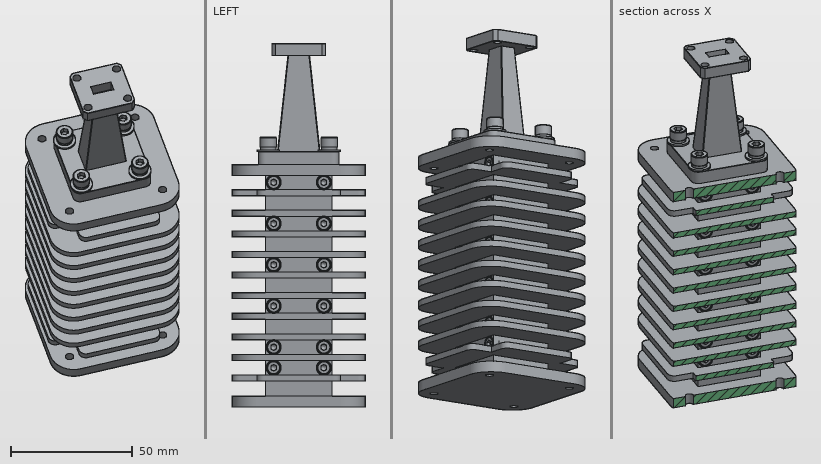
import cadquery as cq
import math

side = 55.0
core_side = side / 2
corner_radius = 10.0
housing_height = 100.0
flange_thickness = 4.5
mount_hole_pitch = 40.0
mount_hole_diameter = 3.3

fin_count = 10
fin_thickness = 2.5
first_fin_z = 12.0
last_fin_z = 88.5
fin_pitch = (last_fin_z - first_fin_z) / (fin_count - 1)
notch_size = 10.2
tab_radius = 3.0

screw_gaps = (0, 1, 3, 5, 7, 9)
side_screw_spacing = 20.7
side_recess_diameter = 6.2
side_head_diameter = 5.5
side_head_chamfer = 0.3
side_recess_depth = 3.0
side_socket_size = 2.4
side_socket_depth = 1.5

block_side = 33.3
block_height = 5.4
block_radius = 3.0
block_top = housing_height + block_height

cap_pitch_x = 24.3
cap_pitch_y = 25.2
washer_diameter = 9.2
washer_thickness = 0.8
spring_washer_diameter = 6.5
spring_washer_thickness = 1.2
cap_diameter = 6.9
cap_height = 4.0
cap_chamfer = 0.3
cap_socket_size = 3.0
cap_socket_depth = 2.0

total_height = 150.0
guide_side = 22.2
guide_thickness = 5.0
guide_chamfer = 1.5
horn_corner_chamfer = 0.3
edge_break = 0.2
guide_hole_pitch_x = 16.2
guide_hole_pitch_y = 17.1
guide_hole_diameter = 3.3
aperture_x = 4.2
aperture_y = 8.7
horn_base_x = 11.1
horn_base_y = 17.5
horn_top_x = 6.8
horn_top_y = 9.0
guide_bottom = total_height - guide_thickness

drill_point_angle = math.radians(59)


def square_plate(size, radius, bottom, thickness):
    """Square plate with rounded vertical corners."""
    plate = cq.Workplane("XY").workplane(offset=bottom).rect(size, size).extrude(thickness)
    return plate.edges("|Z").fillet(radius)


def grid(plane, pitch_x, pitch_y):
    """Four points at the corners of a centred rectangle."""
    return plane.rect(pitch_x, pitch_y, forConstruction=True).vertices()


def fin(bottom):
    return square_plate(side, corner_radius, bottom, fin_thickness)


def notched_fin(bottom):
    """End fin: a cross of two bars whose outer corners are rounded."""
    bar_width = side - 2 * notch_size
    plane = cq.Workplane("XY").workplane(offset=bottom)
    bar = plane.rect(side, bar_width).extrude(fin_thickness).edges("|Z").fillet(tab_radius)
    return bar.union(bar.rotate((0, 0, 0), (0, 0, 1), 90))


def hex_socket(size, depth):
    """Hexagonal socket with a conical bottom, sunk from the XY plane along -Z."""
    corner_diameter = size / math.cos(math.pi / 6)
    point_depth = size / 2 / math.tan(drill_point_angle)
    hexagon = cq.Workplane("XY").polygon(6, corner_diameter).extrude(-depth)
    point = cq.Solid.makeCone(size / 2, 0, point_depth, cq.Vector(0, 0, -depth), cq.Vector(0, 0, -1))
    return hexagon.union(cq.Workplane(point))


def housing():
    body = cq.Workplane("XY").rect(core_side, core_side).extrude(housing_height)
    for flange_bottom in (0, housing_height - flange_thickness):
        flange = square_plate(side, corner_radius, flange_bottom, flange_thickness)
        holes = grid(flange.faces(">Z").workplane(), mount_hole_pitch, mount_hole_pitch)
        body = body.union(holes.hole(mount_hole_diameter))
    for index in range(fin_count):
        bottom = first_fin_z + index * fin_pitch - fin_thickness / 2
        is_end_fin = index in (0, fin_count - 1)
        body = body.union(notched_fin(bottom) if is_end_fin else fin(bottom))
    return body


def side_screw_cut():
    """Recess around the flush screw head plus its socket, sunk along -Z."""
    recess = cq.Workplane("XY").circle(side_recess_diameter / 2).extrude(-side_recess_depth)
    head = cq.Workplane("XY").circle(side_head_diameter / 2).extrude(-side_recess_depth)
    head = head.faces(">Z").edges().chamfer(side_head_chamfer)
    return recess.cut(head).union(hex_socket(side_socket_size, side_socket_depth))


def cut_side_screws(body):
    cutter = side_screw_cut().rotate((0, 0, 0), (0, 1, 0), -90)
    for gap in screw_gaps:
        z = first_fin_z + (gap + 0.5) * fin_pitch
        for y in (-side_screw_spacing / 2, side_screw_spacing / 2):
            body = body.cut(cutter.translate((-core_side / 2, y, z)))
    return body


def cap_screw():
    """Washer, spring washer and socket head stacked up from the XY plane."""
    spring_top = washer_thickness + spring_washer_thickness
    top = spring_top + cap_height
    head = cq.Workplane("XY").workplane(offset=spring_top).circle(cap_diameter / 2).extrude(cap_height)
    head = head.faces(">Z").edges().chamfer(cap_chamfer)
    head = head.cut(hex_socket(cap_socket_size, cap_socket_depth).translate((0, 0, top)))
    washer = cq.Workplane("XY").circle(washer_diameter / 2).extrude(washer_thickness)
    spring = cq.Workplane("XY").circle(spring_washer_diameter / 2).extrude(spring_top)
    return washer.union(spring).union(head)


def block_with_screws():
    body = square_plate(block_side, block_radius, housing_height, block_height)
    body = body.faces(">Z").edges().chamfer(edge_break)
    screw = cap_screw()
    for x in (-cap_pitch_x / 2, cap_pitch_x / 2):
        for y in (-cap_pitch_y / 2, cap_pitch_y / 2):
            body = body.union(screw.translate((x, y, block_top)))
    return body


def horn():
    """Solid taper from the base block up to the waveguide flange."""
    base = cq.Workplane("XY").workplane(offset=block_top).rect(horn_base_x, horn_base_y)
    body = base.workplane(offset=guide_bottom - block_top).rect(horn_top_x, horn_top_y).loft()
    return body.edges("not #Z").chamfer(horn_corner_chamfer)


def waveguide_flange():
    """Top flange with four holes and an aperture that ends on the solid horn."""
    plate = cq.Workplane("XY").workplane(offset=guide_bottom).rect(guide_side, guide_side)
    plate = plate.extrude(guide_thickness).edges("|Z").chamfer(guide_chamfer)
    plate = plate.faces("<Z or >Z").edges().chamfer(edge_break)
    holes = grid(plate.faces(">Z").workplane(), guide_hole_pitch_x, guide_hole_pitch_y)
    plate = holes.hole(guide_hole_diameter)
    return plate.faces(">Z").workplane().rect(aperture_x, aperture_y).cutThruAll()


result = cut_side_screws(housing())
result = result.union(block_with_screws()).union(horn()).union(waveguide_flange())